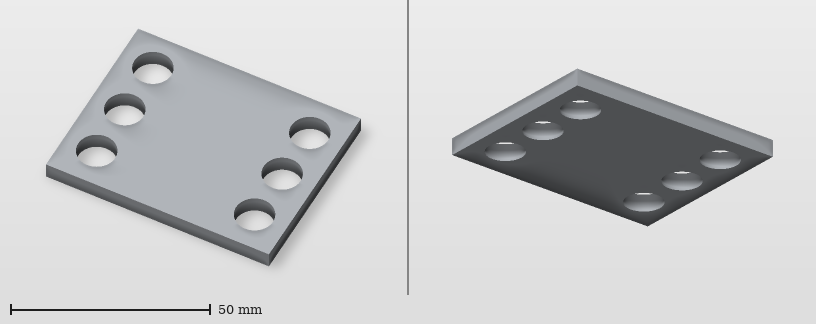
import cadquery as cq

length = 63.0
width = 49.75
thickness = 4.7

hole_diameter = 10.4
holes_per_column = 3
left_edge_distance = 9.2
right_edge_distance = 9.2
first_hole_edge_distance = 9.8
left_pitch = 15.2
right_pitch = 14.9


def column_points(x, pitch):
    """Hole centres of one column, starting near the -Y edge."""
    first_y = -width / 2 + first_hole_edge_distance
    return [(x, first_y + i * pitch) for i in range(holes_per_column)]


left_column = column_points(-length / 2 + left_edge_distance, left_pitch)
right_column = column_points(length / 2 - right_edge_distance, right_pitch)

result = (
    cq.Workplane("XY")
    .box(length, width, thickness)
    .faces(">Z")
    .workplane()
    .pushPoints(left_column + right_column)
    .hole(hole_diameter)
)